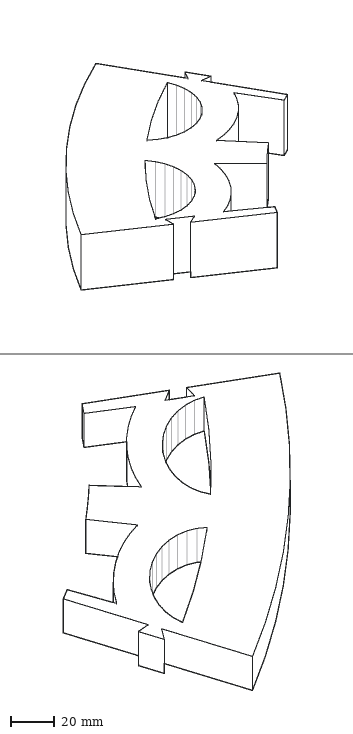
import cadquery as cq
import math

THICKNESS = 30.0
MIDDLE_ANGLE = 240.0
HALF_SPAN = 15.04
OUTER_RADIUS = 299.9
TIP_RADIUS = 206.5

FIN_ANGLE = 1.5
TOOTH_HALF_ANGLE = 2.6
ARCH_END_RADIUS = 230.8
ARCH_PEAK_RADIUS = 224.2

WINDOW_ANGLE = 7.8
WINDOW_HALF_ANGLE = 5.8
WINDOW_BASE_RADIUS = 263.0
WINDOW_PEAK_RADIUS = 240.8
WINDOW_FACETS = 15

DOVETAIL_RADIUS = 251.7
DOVETAIL_DEPTH = 5.1
TAB_ROOT_WIDTH = 6.7
TAB_END_WIDTH = 12.9
SLOT_MOUTH_WIDTH = 8.1
SLOT_FLOOR_WIDTH = 13.8


def polar(radius, angle):
    """Point at a radius, with the angle measured from the segment's centreline."""
    direction = math.radians(MIDDLE_ANGLE + angle)
    return (radius * math.cos(direction), radius * math.sin(direction))


def side_point(side_angle, radius, offset):
    """Point along a radial side face, moved counterclockwise off it by offset."""
    x, y = polar(radius, side_angle)
    direction = math.radians(MIDDLE_ANGLE + side_angle)
    return (x - offset * math.sin(direction), y + offset * math.cos(direction))


def segment_body():
    fin_inner = HALF_SPAN - FIN_ANGLE
    arch_angle = (fin_inner + TOOTH_HALF_ANGLE) / 2
    fin_middle = HALF_SPAN - FIN_ANGLE / 2
    return (
        cq.Workplane("XY")
        .moveTo(*polar(OUTER_RADIUS, -HALF_SPAN))
        .threePointArc(polar(OUTER_RADIUS, 0), polar(OUTER_RADIUS, HALF_SPAN))
        .lineTo(*polar(TIP_RADIUS, HALF_SPAN))
        .threePointArc(polar(TIP_RADIUS, fin_middle), polar(TIP_RADIUS, fin_inner))
        .lineTo(*polar(ARCH_END_RADIUS, fin_inner))
        .threePointArc(polar(ARCH_PEAK_RADIUS, arch_angle), polar(ARCH_END_RADIUS, TOOTH_HALF_ANGLE))
        .lineTo(*polar(TIP_RADIUS, TOOTH_HALF_ANGLE))
        .threePointArc(polar(TIP_RADIUS, 0), polar(TIP_RADIUS, -TOOTH_HALF_ANGLE))
        .lineTo(*polar(ARCH_END_RADIUS, -TOOTH_HALF_ANGLE))
        .threePointArc(polar(ARCH_PEAK_RADIUS, -arch_angle), polar(ARCH_END_RADIUS, -fin_inner))
        .lineTo(*polar(TIP_RADIUS, -fin_inner))
        .threePointArc(polar(TIP_RADIUS, -fin_middle), polar(TIP_RADIUS, -HALF_SPAN))
        .close()
        .extrude(THICKNESS)
    )


def window(angle):
    """Window with an arc base concentric with the ring and an arched wall of equal flat facets."""
    half_width = WINDOW_BASE_RADIUS * math.sin(math.radians(WINDOW_HALF_ANGLE))
    base_distance = WINDOW_BASE_RADIUS * math.cos(math.radians(WINDOW_HALF_ANGLE))
    height = base_distance - WINDOW_PEAK_RADIUS
    arch_radius = (half_width**2 + height**2) / (2 * height)
    half_sweep = 2 * math.atan2(height, half_width)
    center_x, center_y = polar(WINDOW_PEAK_RADIUS + arch_radius, angle)
    peak_direction = math.radians(MIDDLE_ANGLE + angle + 180)
    wall = []
    for index in range(WINDOW_FACETS + 1):
        direction = peak_direction + half_sweep * (1 - 2 * index / WINDOW_FACETS)
        wall.append((
            center_x + arch_radius * math.cos(direction),
            center_y + arch_radius * math.sin(direction),
        ))
    return (
        cq.Workplane("XY")
        .polyline(wall)
        .threePointArc(polar(WINDOW_BASE_RADIUS, angle), wall[0])
        .close()
        .extrude(THICKNESS)
    )


def dovetail(side_angle, face_width, end_width):
    """Dovetail prism growing clockwise from a radial side face."""
    corners = [
        side_point(side_angle, DOVETAIL_RADIUS - face_width / 2, 0),
        side_point(side_angle, DOVETAIL_RADIUS - end_width / 2, -DOVETAIL_DEPTH),
        side_point(side_angle, DOVETAIL_RADIUS + end_width / 2, -DOVETAIL_DEPTH),
        side_point(side_angle, DOVETAIL_RADIUS + face_width / 2, 0),
    ]
    return cq.Workplane("XY").polyline(corners).close().extrude(THICKNESS)


result = segment_body()
for window_angle in (-WINDOW_ANGLE, WINDOW_ANGLE):
    result = result.cut(window(window_angle))
result = result.union(dovetail(-HALF_SPAN, TAB_ROOT_WIDTH, TAB_END_WIDTH))
result = result.cut(dovetail(HALF_SPAN, SLOT_MOUTH_WIDTH, SLOT_FLOOR_WIDTH))